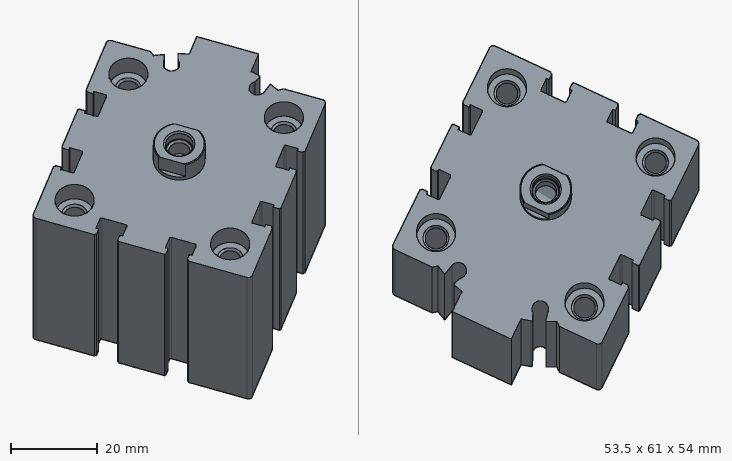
import cadquery as cq
import math

tap_diameter = 4.95
tap_countersink = 6.0
tap_countersink_depth = (tap_countersink - tap_diameter) / 2

side = 53.5
half_side = side / 2
housing_height = 48.0
corner_radius = 1.0

rail_half_width = 7.55
total_depth = 61
rail_top = total_depth - half_side
rail_foot = 29.0
flare_tip = (10.1, 28.3)
flare_tip_radius = 0.3
flare_bottom = (9.35, 26.4)

groove_x = 10.5
groove_y = 24.9
groove_radius = 1.9
groove_tilt = math.radians(15)
lip_angle = math.radians(135)
ridge_tip = (12.95, 27.0)
notch_bottom = (15.2, 25.9)
notch_end_x = 16.3

slot_offset = 8.5
slot_mouth = 5.2
slot_width = 6.5
slot_depth = 5.05
lip_thickness = 1.8
slot_corner_radius = 0.35
outer_lip_radius = 0.35
inner_lip_radius = 0.25

hole_spacing = 38.0
counterbore_diameter = 9.0
counterbore_depth = 5.7

rod_diameter = 12.0
rod_radius = rod_diameter / 2
rod_top = 54.0
rod_chamfer = 0.25
rod_seat_depth = 12.2
rod_bottom = housing_height - rod_seat_depth
flat_distance = 10.05
flat_height_above_housing = 1.2
flat_bottom = housing_height + flat_height_above_housing

rod_hole_mouth = 7.2
rod_hole_diameter = 6.4
rod_hole_depth = 2.5
rod_tap_depth = 7.3
drill_half_angle = math.radians(59)


def groove_point(angle):
    """Point on the wall of the +X sensor groove."""
    return (
        groove_x + groove_radius * math.cos(angle),
        groove_y + groove_radius * math.sin(angle),
    )


def upright_edge_at(point):
    """Selector for the vertical edge of the housing nearest to an (x, y) point."""
    return cq.selectors.NearestToPointSelector((*point, housing_height / 2))


def half_block():
    """The +X half of the housing, before the slots and holes are cut."""
    outline = (
        cq.Workplane("XY")
        .moveTo(0, -half_side)
        .lineTo(half_side, -half_side)
        .lineTo(half_side, half_side)
        .lineTo(notch_end_x, half_side)
        .lineTo(*notch_bottom)
        .lineTo(*ridge_tip)
        .lineTo(*groove_point(-groove_tilt))
        .threePointArc(groove_point(-math.pi / 2), groove_point(lip_angle))
        .lineTo(*flare_bottom)
        .lineTo(*flare_tip)
        .lineTo(rail_half_width, rail_foot)
        .lineTo(rail_half_width, rail_top)
        .lineTo(0, rail_top)
        .close()
    )
    block = outline.extrude(housing_height)
    for corner in ((half_side, -half_side), (half_side, half_side)):
        block = block.edges(upright_edge_at(corner)).fillet(corner_radius)
    return block.edges(upright_edge_at(flare_tip)).fillet(flare_tip_radius)


def t_slot_cutter():
    """Cutter for the -Y slot on the +X side; its mouth is rounded more on the outer lip."""
    face = -half_side
    inner_edge = slot_offset - slot_mouth / 2
    outer_edge = slot_offset + slot_mouth / 2
    mouth = (
        cq.Workplane("XY")
        .moveTo(inner_edge - inner_lip_radius, face)
        .radiusArc((inner_edge, face + inner_lip_radius), inner_lip_radius)
        .lineTo(inner_edge, face + lip_thickness)
        .lineTo(outer_edge, face + lip_thickness)
        .lineTo(outer_edge, face + outer_lip_radius)
        .radiusArc((outer_edge + outer_lip_radius, face), outer_lip_radius)
        .close()
        .extrude(housing_height)
    )
    chamber_depth = slot_depth - lip_thickness
    chamber = (
        cq.Workplane("XY")
        .center(slot_offset, face + lip_thickness + chamber_depth / 2)
        .rect(slot_width, chamber_depth)
        .extrude(housing_height)
        .edges("|Z and >Y")
        .fillet(slot_corner_radius)
    )
    return mouth.union(chamber)


def mounting_hole_cutter():
    """Counterbored and countersunk through hole, centred on the origin."""
    seat = housing_height - counterbore_depth
    return (
        cq.Workplane("XZ")
        .lineTo(tap_diameter / 2, 0)
        .lineTo(tap_diameter / 2, seat - tap_countersink_depth)
        .lineTo(tap_countersink / 2, seat)
        .lineTo(counterbore_diameter / 2, seat)
        .lineTo(counterbore_diameter / 2, housing_height)
        .lineTo(0, housing_height)
        .close()
        .revolve(360, (0, 0), (0, 1))
    )


def make_housing():
    right_half = half_block()
    housing = right_half.union(right_half.mirror("YZ"))

    slot = t_slot_cutter()
    slot_pair = slot.union(slot.mirror("YZ"))
    for turn in (-90, 0, 90):
        housing = housing.cut(slot_pair.rotate((0, 0, 0), (0, 0, 1), turn))

    hole = mounting_hole_cutter()
    for x in (-hole_spacing / 2, hole_spacing / 2):
        for y in (-hole_spacing / 2, hole_spacing / 2):
            housing = housing.cut(hole.translate((x, y, 0)))

    rod_bore = cq.Workplane("XY").workplane(offset=rod_bottom).circle(rod_radius).extrude(rod_seat_depth)
    return housing.cut(rod_bore)


def rod_hole_cutter():
    """Clearance hole in the rod end, stepping down to a tapped hole with a drill-point bottom."""
    mouth_chamfer = (rod_hole_mouth - rod_hole_diameter) / 2
    seat = rod_top - rod_hole_depth
    tap_bottom = rod_top - rod_tap_depth
    drill_point = tap_diameter / 2 / math.tan(drill_half_angle)
    return (
        cq.Workplane("XZ")
        .moveTo(0, rod_top)
        .lineTo(rod_hole_mouth / 2, rod_top)
        .lineTo(rod_hole_diameter / 2, rod_top - mouth_chamfer)
        .lineTo(rod_hole_diameter / 2, seat)
        .lineTo(tap_countersink / 2, seat)
        .lineTo(tap_diameter / 2, seat - tap_countersink_depth)
        .lineTo(tap_diameter / 2, tap_bottom)
        .lineTo(0, tap_bottom - drill_point)
        .close()
        .revolve(360, (0, 0), (0, 1))
    )


def make_rod():
    rod = (
        cq.Workplane("XY")
        .workplane(offset=rod_bottom)
        .circle(rod_radius)
        .extrude(rod_top - rod_bottom)
        .faces(">Z")
        .chamfer(rod_chamfer)
    )
    between_flats = (
        cq.Workplane("XY")
        .workplane(offset=flat_bottom)
        .rect(2 * rod_diameter, flat_distance)
        .extrude(rod_top - flat_bottom)
    )
    flat_cutter = (
        cq.Workplane("XY")
        .workplane(offset=flat_bottom)
        .rect(2 * rod_diameter, 2 * rod_diameter)
        .extrude(rod_top - flat_bottom)
        .cut(between_flats)
    )
    return rod.cut(flat_cutter).cut(rod_hole_cutter())


housing = make_housing()
rod = make_rod()

result = cq.Compound.makeCompound([housing.val(), rod.val()])